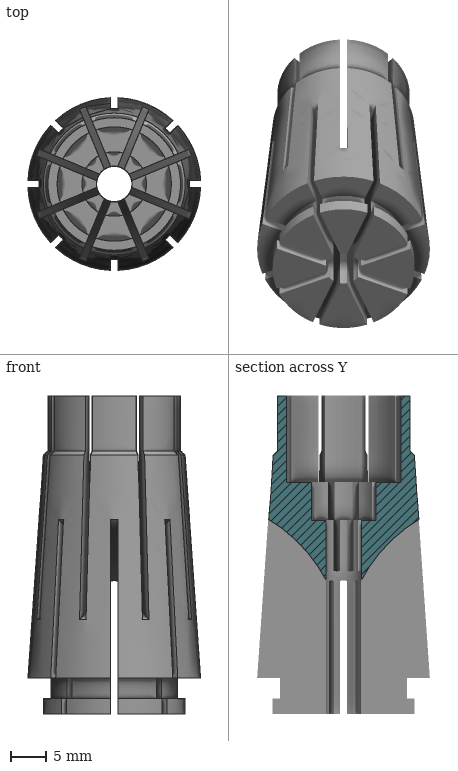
import cadquery as cq
import math

total_height = 45.1
flange_top = 2.2
cone_bottom = 5.1
cone_top = 36.7
shoulder_top = 37.3
cup_floor = 32.9
recess_floor = 27.5

flange_radius = 10.05
groove_radius = 9.0
cone_bottom_radius = 12.25
cone_top_radius = 10.05
rim_radius = 9.4

cup_radius = 8.1
recess_radius = 4.57
hole_radius = 2.5

slots_per_end = 8
slot_width = 1.0
upper_saw_radius = 19.5
lower_saw_radius = 22.0
slot_pitch = 360.0 / slots_per_end
upper_slot_end = 13.4
lower_slot_end = 27.6
upper_saw_offset = 18.2
lower_saw_offset = 22.0


def cone_radius_at(height):
    """Outer radius of the cone at a given height."""
    fraction = (height - cone_bottom) / (cone_top - cone_bottom)
    return cone_bottom_radius + fraction * (cone_top_radius - cone_bottom_radius)


def make_body():
    """Revolve the half section: flange, groove, cone and rim outside, stepped bore inside."""
    half_section = [
        (hole_radius, 0),
        (flange_radius, 0),
        (flange_radius, flange_top),
        (groove_radius, flange_top),
        (groove_radius, cone_bottom),
        (cone_bottom_radius, cone_bottom),
        (cone_top_radius, cone_top),
        (rim_radius, shoulder_top),
        (rim_radius, total_height),
        (cup_radius, total_height),
        (cup_radius, cup_floor),
        (recess_radius, cup_floor),
        (recess_radius, recess_floor),
        (hole_radius, recess_floor),
    ]
    body = cq.Workplane("XZ").polyline(half_section).close().revolve(360, (0, 0), (0, 1))
    return body.rotate((0, 0, 0), (0, 0, 1), slot_pitch / 4)


def cut_slots(body, saw_radius, saw_offset, end_height, side, first_angle):
    """Cut a ring of radial slots; side is +1 for a saw above the slot end, -1 for below."""
    reach = saw_offset - cone_radius_at(end_height)
    saw_height = end_height + side * math.sqrt(saw_radius**2 - reach**2)
    saw = (
        cq.Workplane("XZ")
        .center(saw_offset, saw_height)
        .circle(saw_radius)
        .extrude(slot_width / 2, both=True)
    )
    for index in range(slots_per_end):
        angle = first_angle + index * slot_pitch
        body = body.cut(saw.rotate((0, 0, 0), (0, 0, 1), angle))
    return body


result = make_body()
result = cut_slots(result, upper_saw_radius, upper_saw_offset, upper_slot_end, 1, slot_pitch / 2)
result = cut_slots(result, lower_saw_radius, lower_saw_offset, lower_slot_end, -1, 0)